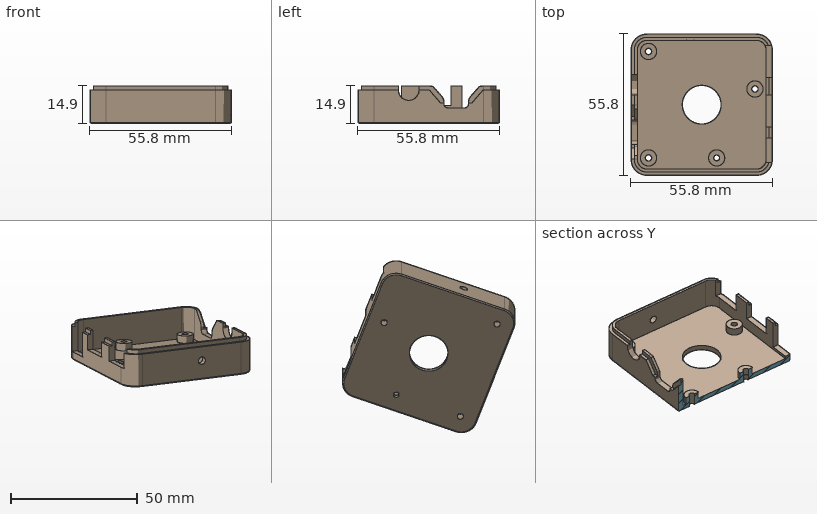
import cadquery as cq

side = 55.8
height = 14.88
wall = 2.5
floor = 2.2
corner_radius = 6.3
bottom_chamfer = 0.5
half = side / 2
inner_half = half - wall
inner_corner_radius = corner_radius - wall

step_width = 1.3
ledge_z = 13.3

centre_hole_diameter = 15.2
side_hole_diameter = 3.0
side_hole_x = -4.5
side_hole_z = 7.7

boss_diameter = 6.4
boss_height = 3.0
boss_hole_diameter = 2.4
small_hole_diameter = 2.2
boss_inset = 6.9
right_boss_y = 6.2
front_boss_x = 5.9
corner_boss = half - boss_inset
plain_bosses = [
    (-corner_boss, corner_boss),
    (-corner_boss, -corner_boss),
    (corner_boss, right_boss_y),
]
stepped_boss = (front_boss_x, -corner_boss)

cable_diameter = 8.0
cable_y = 7.9
cable_z = 13.15

flare_y = -10.85
flare_half_width = 4.78
flare_bottom_z = 6.2
flare_bottom_radius = 1.45
flare_bend_z = 9.75
flare_bend_radius = 3.6
flare_shoulder = (9.15, 14.66)
flare_top_half_width = 10.65
flare_ledge_half_width = 6.25
flare_ledge_z = 8.2

connector_notches = [
    (10.8, 23.4, 7.2),
    (-8.75, 3.9, 7.2),
    (-22.8, -13.2, 3.3),
]

clearance = 1.0
height_tolerance = 0.1


def rounded_block(size, radius, z_from, z_to):
    """Square block with rounded vertical edges, centred on Z."""
    block = cq.Workplane("XY").workplane(offset=z_from).rect(size, size).extrude(z_to - z_from)
    return block.edges("|Z").fillet(radius)


def cylinder(diameter, x, y, z_from, z_to):
    """Vertical cylinder."""
    plane = cq.Workplane("XY").workplane(offset=z_from)
    return plane.center(x, y).circle(diameter / 2).extrude(z_to - z_from)


def left_wall_prism(half_profile, depth):
    """Prism mirrored about flare_y, reaching in from outside the -X face to the given depth."""
    right = [(flare_y + offset, z) for offset, z in half_profile]
    left = [(flare_y - offset, z) for offset, z in reversed(half_profile)]
    plane = cq.Workplane("YZ").workplane(offset=-half - clearance)
    return plane.polyline(right + left).close().extrude(depth + clearance)


def edges_at_height(z):
    """Selector for edges centred at height z."""
    low_corner = (-side, -side, z - height_tolerance)
    high_corner = (side, side, z + height_tolerance)
    return cq.selectors.BoxSelector(low_corner, high_corner)


def make_shell():
    """Tray with a chamfered base and a stepped rim."""
    body = rounded_block(side, corner_radius, 0, ledge_z)
    body = body.faces("<Z").edges().chamfer(bottom_chamfer)
    lip = rounded_block(side - 2 * step_width, corner_radius - step_width, floor, height)
    cavity = rounded_block(2 * inner_half, inner_corner_radius, floor, height + clearance)
    return body.union(lip).cut(cavity)


def add_bosses(body):
    """Standoffs on the floor; one has a tighter hole through the floor."""
    boss_top = floor + boss_height
    for x, y in plain_bosses + [stepped_boss]:
        body = body.union(cylinder(boss_diameter, x, y, 0, boss_top))
    for x, y in plain_bosses:
        body = body.cut(cylinder(boss_hole_diameter, x, y, 0, boss_top))
    x, y = stepped_boss
    body = body.cut(cylinder(boss_hole_diameter, x, y, floor, boss_top))
    return body.cut(cylinder(small_hole_diameter, x, y, 0, floor))


def cut_round_holes(body):
    """Central floor opening and the small hole through the +Y wall."""
    body = body.cut(cylinder(centre_hole_diameter, 0, 0, 0, floor))
    plane = cq.Workplane("XZ", origin=(side_hole_x, half, side_hole_z))
    return body.cut(plane.circle(side_hole_diameter / 2).extrude(wall))


def cut_cable_notch(body):
    """Round-bottomed notch, open at the rim."""
    radius = cable_diameter / 2
    plane = cq.Workplane("YZ", origin=(-half, cable_y, cable_z))
    slot = plane.moveTo(-radius, height - cable_z).lineTo(-radius, 0)
    slot = slot.threePointArc((0, -radius), (radius, 0))
    slot = slot.lineTo(radius, height - cable_z).close().extrude(wall)
    return body.cut(slot)


def cut_flared_notch(body):
    """Notch that widens to the rim, with the rim step following its flanks."""
    opening = left_wall_prism(
        [
            (flare_half_width, flare_bottom_z),
            (flare_half_width, flare_bend_z),
            flare_shoulder,
            (flare_top_half_width, height),
        ],
        wall,
    )
    opening = opening.edges(edges_at_height(flare_bend_z)).edges("|X").fillet(flare_bend_radius)
    opening = opening.edges(edges_at_height(flare_bottom_z)).edges("|X").fillet(flare_bottom_radius)
    ledge = left_wall_prism(
        [
            (flare_ledge_half_width, flare_ledge_z),
            (flare_top_half_width, ledge_z),
        ],
        step_width,
    )
    return body.cut(opening).cut(ledge)


def cut_connector_notches(body):
    """Square notches that leave two tabs standing in the +X wall."""
    for y_from, y_to, bottom_z in connector_notches:
        x_from = inner_half - inner_corner_radius
        notch = cq.Workplane("XY").box(
            half - x_from, y_to - y_from, height - bottom_z, centered=False
        )
        body = body.cut(notch.translate((x_from, y_from, bottom_z)))
    return body


result = make_shell()
result = add_bosses(result)
result = cut_round_holes(result)
result = cut_cable_notch(result)
result = cut_flared_notch(result)
result = cut_connector_notches(result)